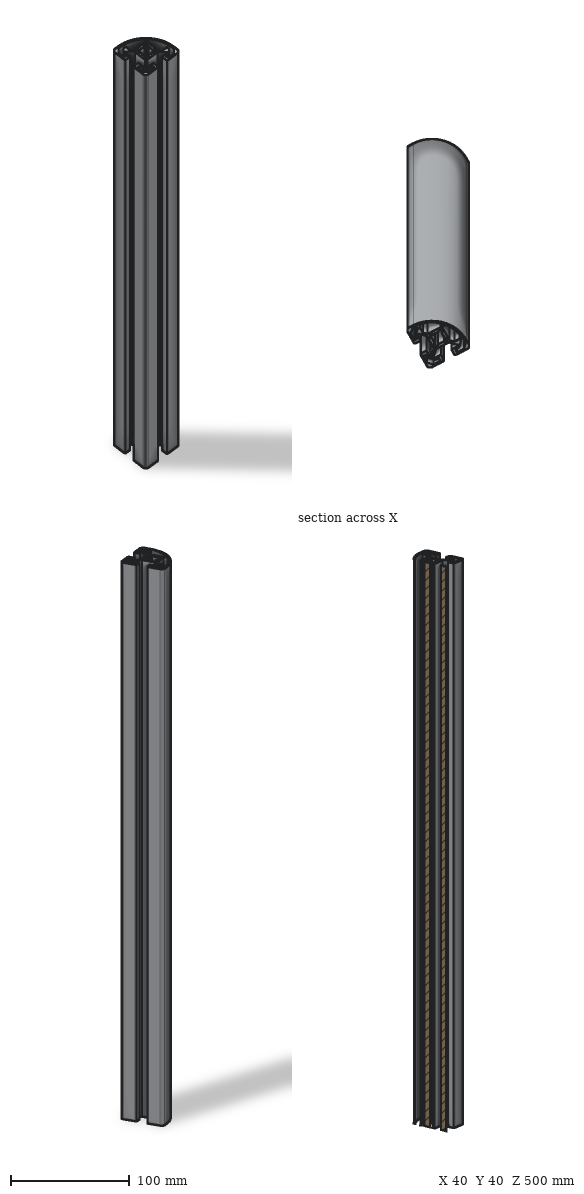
import cadquery as cq
import math

length = 500.0
half = 20.0
corner_radius = 3.0

wall = 1.5
web_width = 2.0

arch_centre = 13.0
arch_radius = half + arch_centre

slot_half_width = 5.0
mouth_bevel_width = 1.5
mouth_bevel_depth = 0.4
lip_depth = 6.0

core_half = 7.5
core_wall = 2.0
bore_half = core_half - core_wall
ridge_half_width = 3.0
ridge_height = 0.75

hollow_end = 8.0
hollow_bevel = 4.0
hollow_gap = 3.0
node_bevel = 4.0
node_side = 10.5

lip_inside = half - lip_depth
web_half = web_width / math.sqrt(2)
hollow_outer = half - wall
hollow_inner = hollow_outer - hollow_gap
outer_bevel_start = hollow_outer - hollow_bevel
node_bevel_start = hollow_inner - node_bevel


def mirrored(points):
    """Reflect points across the line y = -x, the symmetry line of the section."""
    return [(-y, -x) for x, y in points]


def mirrored_back(points):
    """Reflect points across y = -x and reverse them to keep walking the outline."""
    return mirrored(reversed(points))


def prism(points):
    """Extrude a closed outline over the full length of the bar."""
    return cq.Workplane("XY").polyline(points).close().extrude(length)


def arch_middle(inset):
    """Middle of the arc that lies inside the outer arch by the given inset."""
    reach = (arch_radius - inset) / math.sqrt(2)
    return (arch_centre - reach, reach - arch_centre)


def make_body():
    """Solid square bar with one arched corner and three rounded corners."""
    bar = (
        cq.Workplane("XY")
        .moveTo(half, -half)
        .lineTo(-half, -half)
        .lineTo(-half, -arch_centre)
        .threePointArc(arch_middle(0), (arch_centre, half))
        .lineTo(half, half)
        .close()
        .extrude(length)
    )
    corners = [(half, -half), (-half, -half), (half, half)]
    for x, y in corners:
        bar = bar.edges(cq.selectors.NearestToPointSelector((x, y, length / 2))).fillet(corner_radius)
    return bar


def slot_points():
    """Outline of the T-slot that opens on the -Y side."""
    right = [
        (core_half - web_half, -core_half),
        (lip_inside - web_half, -lip_inside),
        (slot_half_width, -lip_inside),
        (slot_half_width, mouth_bevel_depth - half),
        (slot_half_width + mouth_bevel_width, -half),
    ]
    left = [(-x, y) for x, y in reversed(right)]
    return right + left


def make_bore():
    """Square bore with a shallow ridge along the middle of each wall."""
    bore = cq.Workplane("XY").rect(2 * bore_half, 2 * bore_half).extrude(length)
    ridge_centre = bore_half - ridge_height / 2
    for angle in range(0, 360, 90):
        ridge = (
            cq.Workplane("XY")
            .center(0, ridge_centre)
            .rect(2 * ridge_half_width, ridge_height)
            .extrude(length)
            .rotate((0, 0, 0), (0, 0, 1), angle)
        )
        bore = bore.cut(ridge)
    return bore


def corner_hollow_points():
    """L-shaped hollow in the corner between the two slots."""
    half_outer = [(hollow_end, -hollow_outer), (outer_bevel_start, -hollow_outer)]
    half_inner = [(node_bevel_start, -hollow_inner), (hollow_end, -hollow_inner)]
    return half_outer + mirrored_back(half_outer) + mirrored(half_inner[::-1]) + half_inner


def make_chamber():
    """Chamber between arch and core, with its two arms that reach into the slot lips."""
    outer = [
        (-hollow_end, -hollow_outer),
        (-outer_bevel_start, -hollow_outer),
        (-hollow_outer, -outer_bevel_start),
        (-hollow_outer, -arch_centre),
    ]
    inner = [
        (-core_half, web_half - core_half),
        (-node_side, web_half - node_side),
        (-hollow_inner, web_half - node_side),
        (-hollow_inner, -node_bevel_start),
        (-node_bevel_start, -hollow_inner),
        (-hollow_end, -hollow_inner),
    ]
    outer_end = mirrored_back(outer)
    core_corner = [(-core_half, core_half)]
    outline = cq.Workplane("XY").polyline(outer)
    outline = outline.threePointArc(arch_middle(wall), outer_end[0])
    for x, y in outer_end[1:] + mirrored_back(inner) + core_corner + inner:
        outline = outline.lineTo(x, y)
    return outline.close().extrude(length)


def make_arch_web():
    """Short diagonal web between the core and the middle of the arch."""
    core_end = core_wall - core_half
    arch_end = arch_middle(wall / 2)[0]
    shift = web_half / 2
    return prism([
        (core_end - shift, -core_end - shift),
        (core_end + shift, -core_end + shift),
        (arch_end + shift, -arch_end + shift),
        (arch_end - shift, -arch_end - shift),
    ])


result = (
    make_body()
    .cut(prism(slot_points()))
    .cut(prism(mirrored(slot_points())))
    .cut(prism(corner_hollow_points()))
    .cut(make_chamber())
    .union(make_arch_web())
    .cut(make_bore())
)